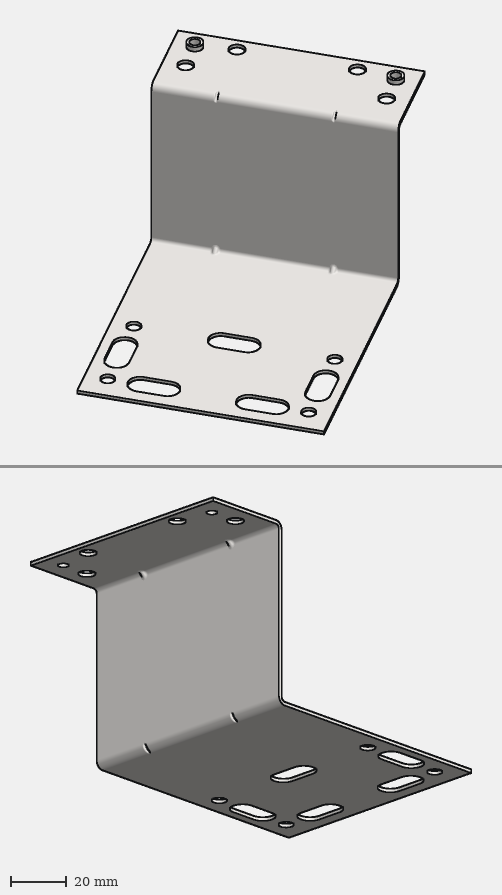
import cadquery as cq
import math

width = 92.0
depth = 131.5
boss_height = 2.0
overall_height = 72.0
flange_height = overall_height - boss_height
thickness = 1.5
flange_bottom = flange_height - thickness
inner_bend = 1.6
outer_bend = inner_bend + thickness
flange_depth = 35.0

front = -depth / 2
back = depth / 2
wall_front = back - flange_depth
wall_back = wall_front + thickness


def mirrored(points):
    return [(side * x, y) for x, y in points for side in (-1, 1)]


edge_column_x = 37.5
boss_diameter = 6.2
boss_bore = 4.0
boss_centers = mirrored([(edge_column_x, back - 8.0)])
flange_hole_diameter = 6.2
flange_hole_centers = mirrored([(edge_column_x, back - 20.0), (22.5, back - 5.5)])

foot_hole_diameter = 5.5
front_row_y = front + 10.0
rear_row_y = front + 44.0
slot_length = 19.5
slot_width = 9.2
front_slot_x = 20.3

dimple_x = 22.0
groove_radius = 0.5
groove_axis_depth = 1.7
groove_fillet = 0.4
rib_radius = 1.0
rib_axis_depth = 2.8
rib_fillet = 1.0
rib_edge_setback = 0.95 * thickness
dimple_reach = 5.3


def bent_sheet():
    return (
        cq.Workplane("YZ")
        .moveTo(front, 0)
        .lineTo(wall_back - outer_bend, 0)
        .tangentArcPoint((wall_back, outer_bend), relative=False)
        .lineTo(wall_back, flange_bottom - inner_bend)
        .tangentArcPoint((wall_back + inner_bend, flange_bottom), relative=False)
        .lineTo(back, flange_bottom)
        .lineTo(back, flange_height)
        .lineTo(wall_front + outer_bend, flange_height)
        .tangentArcPoint((wall_front, flange_height - outer_bend), relative=False)
        .lineTo(wall_front, thickness + inner_bend)
        .tangentArcPoint((wall_front - inner_bend, thickness), relative=False)
        .lineTo(front, thickness)
        .close()
        .extrude(width / 2, both=True)
    )


def dimple_rod(x, corner_y, corner_z, inward, radius, axis_depth):
    """Rod across a bend at 45 degrees; inward (+1 or -1) is the Y and -Z way to the inside."""
    offset = inward * axis_depth / math.sqrt(2)
    direction = cq.Vector(0, 1, 1).normalized()
    center = cq.Vector(x, corner_y + offset, corner_z - offset)
    return cq.Workplane(
        cq.Solid.makeCylinder(radius, 2 * dimple_reach, center - direction * dimple_reach, direction)
    )


def inside_of_bend(corner_y, corner_z, inward):
    """Block on the inner side of a bend, bounded by the inner faces of both legs."""
    size = 2 * dimple_reach
    middle = inward * (thickness + size / 2)
    return cq.Workplane("XY").box(width, size, size).translate((0, corner_y + middle, corner_z - middle))


def edges_near(x, corner_y, corner_z, inward, setback):
    """Selector for edges centred around one dimple, at least setback inside the outer faces."""
    near_y = corner_y + inward * setback
    near_z = corner_z - inward * setback
    far_y = corner_y + inward * dimple_reach
    far_z = corner_z - inward * dimple_reach
    return cq.selectors.BoxSelector(
        (x - dimple_reach, near_y, near_z), (x + dimple_reach, far_y, far_z)
    )


def add_dimple(sheet, x, corner_y, corner_z, inward):
    place = (x, corner_y, corner_z, inward)
    rib = dimple_rod(*place, rib_radius, rib_axis_depth)
    rib = rib.intersect(inside_of_bend(corner_y, corner_z, inward))
    inner_edges = edges_near(*place, rib_edge_setback)
    sheet = sheet.union(rib).edges(inner_edges).fillet(rib_fillet)

    groove = dimple_rod(*place, groove_radius, groove_axis_depth)
    outer_edges = edges_near(*place, -thickness / 2) - inner_edges
    return sheet.cut(groove).edges(outer_edges).fillet(groove_fillet)


def add_dimples(sheet):
    for corner_y, corner_z, inward in [(wall_front, flange_height, 1), (wall_back, 0, -1)]:
        for x in (-dimple_x, dimple_x):
            sheet = add_dimple(sheet, x, corner_y, corner_z, inward)
    return sheet


def foot_openings():
    plane = cq.Workplane("XY")
    corners = mirrored([(edge_column_x, front_row_y), (edge_column_x, rear_row_y)])
    holes = plane.pushPoints(corners).circle(foot_hole_diameter / 2).extrude(thickness)
    cross_centers = mirrored([(front_slot_x, front_row_y)]) + [(0, rear_row_y)]
    cross_slots = plane.pushPoints(cross_centers).slot2D(slot_length, slot_width).extrude(thickness)
    side_centers = mirrored([(edge_column_x, (front_row_y + rear_row_y) / 2)])
    side_slots = plane.pushPoints(side_centers).slot2D(slot_length, slot_width, 90).extrude(thickness)
    return holes.union(cross_slots).union(side_slots)


def bosses():
    top = cq.Workplane("XY", origin=(0, 0, flange_height))
    return top.pushPoints(boss_centers).circle(boss_diameter / 2).extrude(boss_height)


def flange_openings():
    underside = cq.Workplane("XY", origin=(0, 0, flange_bottom))
    holes = underside.pushPoints(flange_hole_centers).circle(flange_hole_diameter / 2).extrude(thickness)
    bore_length = thickness + boss_height
    bores = underside.pushPoints(boss_centers).circle(boss_bore / 2).extrude(bore_length)
    return holes.union(bores)


bracket = add_dimples(bent_sheet())
result = bracket.union(bosses()).cut(flange_openings()).cut(foot_openings())